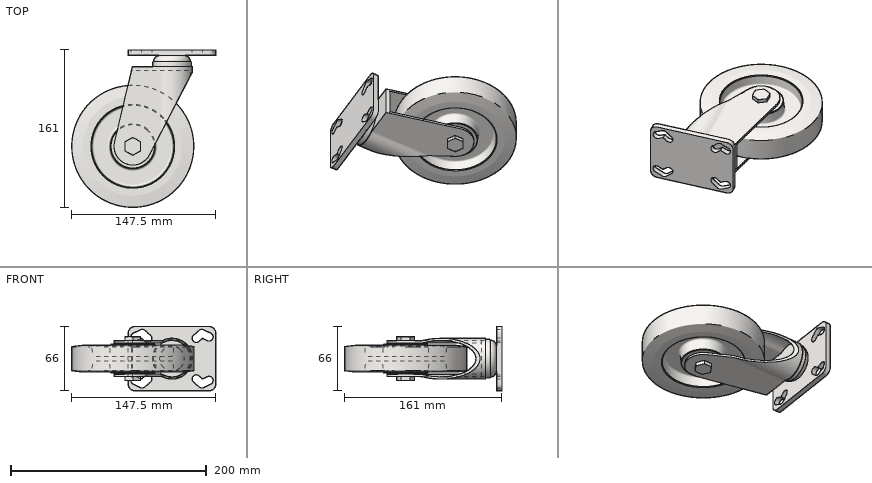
import cadquery as cq
import math


overall_height = 161.0
select_margin = 0.2

wheel_radius = 62.5
tread_half_width = 12.4
tread_edge_round = 0.5
rim_face_radius = 50.7
rim_half_width = 13.8
recess_radius = 42.8
recess_lip = 0.8
recess_floor_radius = 40.9
web_half_width = 2.3
hub_radius = 22.9
hub_base_radius = 24.0
hub_half_width = 14.8
hub_edge_chamfer = 0.6
recess_corner_round = 1.8

spacer_diameter = 16.3
hex_sides = 6
hex_across_flats = 16.0
bolt_half_length = 22.5

swivel_offset = 40.1
plate_length = 89.8
plate_width = 66.0
plate_thickness = 5.6
plate_corner_radius = 7.2
plate_top = overall_height - wheel_radius
plate_bottom = plate_top - plate_thickness

slot_width = 8.2
slot_inner_end = (24.8, 20.8)
slot_bend = (30.5, 25.8)
slot_outer_end = (37.8, 22.2)

fork_top = 81.5
fork_roof = 3.9
fork_wall = 2.5
fork_half_width = 18.4
fork_barrel_radius = 21.0
fork_barrel_bore_radius = 18.7
fork_bend_radius = 6.5
fork_end_radius = 19.2
fork_back_corner_x = -0.5
fork_front_corner_y = 76.0

collar_radius = 20.0
collar_top = 86.5
collar_edge_round = 1.0
dome_radius = 19.0
dome_round = plate_bottom - collar_top


def edges_near_height(height):
    reach = 2 * wheel_radius
    return cq.selectors.BoxSelector(
        (-reach, -reach, height - select_margin),
        (reach, reach, height + select_margin),
        boundingbox=True,
    )


def edges_at_heights(solid, height):
    """Edges lying flat at +height or -height along Z."""
    return solid.edges(edges_near_height(height) + edges_near_height(-height))


def make_wheel():
    upper_side = [
        (wheel_radius, tread_half_width),
        (rim_face_radius, rim_half_width),
        (recess_radius, rim_half_width),
        (recess_radius - recess_lip, rim_half_width - recess_lip),
        (recess_floor_radius, web_half_width),
        (hub_base_radius, web_half_width),
        (hub_radius, hub_half_width - hub_edge_chamfer),
        (hub_radius - hub_edge_chamfer, hub_half_width),
        (0, hub_half_width),
    ]
    lower_side = [(radius, -height) for radius, height in reversed(upper_side)]
    wheel = (
        cq.Workplane("XZ")
        .polyline(upper_side + lower_side)
        .close()
        .revolve(360, (0, 0), (0, 1))
    )
    wheel = edges_at_heights(wheel, tread_half_width).fillet(tread_edge_round)
    return edges_at_heights(wheel, web_half_width).fillet(recess_corner_round)


def make_axle():
    spacer = cq.Workplane("XY").circle(spacer_diameter / 2).extrude(fork_half_width, both=True)
    head = (
        cq.Workplane("XY", origin=(0, 0, fork_half_width))
        .polygon(hex_sides, hex_across_flats, circumscribed=True)
        .extrude(bolt_half_length - fork_half_width)
    )
    return spacer.union(head).union(head.mirror("XY"))


def slot_leg(start, end):
    """Straight round-ended slot between two end centres."""
    dx = end[0] - start[0]
    dz = end[1] - start[1]
    length = math.hypot(dx, dz)
    return (
        cq.Workplane("XY")
        .slot2D(length + slot_width, slot_width, math.degrees(math.atan2(dz, dx)))
        .extrude(plate_thickness)
        .translate(((start[0] + end[0]) / 2, (start[1] + end[1]) / 2, 0))
    )


def make_plate():
    plate = (
        cq.Workplane("XY")
        .rect(plate_length, plate_width)
        .extrude(plate_thickness)
        .edges("|Z")
        .fillet(plate_corner_radius)
    )
    slot = slot_leg(slot_inner_end, slot_bend).union(slot_leg(slot_bend, slot_outer_end))
    slot_pair = slot.union(slot.mirror("XZ"))
    plate = plate.cut(slot_pair).cut(slot_pair.mirror("YZ"))
    return plate.rotate((0, 0, 0), (1, 0, 0), 90).translate((swivel_offset, plate_top, 0))


def fork_block(half_width, barrel_radius, bend_radius, top):
    """Straight-sided channel merging into a barrel on the swivel axis, from the axle end up to top."""
    bottom = -wheel_radius
    height = top - bottom
    plane = cq.Workplane("XZ", origin=(0, top, 0))
    channel = plane.rect(2 * swivel_offset, 2 * half_width).extrude(height)
    barrel = plane.center(swivel_offset, 0).circle(barrel_radius).extrude(height)
    meet_x = swivel_offset - math.sqrt(barrel_radius**2 - half_width**2)
    corners = cq.selectors.BoxSelector(
        (meet_x - select_margin, bottom - select_margin, -half_width - select_margin),
        (meet_x + select_margin, top + select_margin, half_width + select_margin),
        boundingbox=True,
    )
    return channel.union(barrel).edges("|Y").edges(corners).fillet(bend_radius)


def tangent_point(corner, radius, side):
    """Where a line from corner touches a circle about the origin; side is +1 or -1."""
    angle = math.atan2(corner[1], corner[0]) + side * math.acos(radius / math.hypot(*corner))
    return (radius * math.cos(angle), radius * math.sin(angle))


def make_fork():
    fork_body = fork_block(fork_half_width, fork_barrel_radius, fork_bend_radius, fork_top)
    cavity = fork_block(
        fork_half_width - fork_wall,
        fork_barrel_bore_radius,
        fork_bend_radius + fork_wall,
        fork_top - fork_roof,
    )
    front_x = swivel_offset + fork_barrel_radius
    back_corner = (fork_back_corner_x, fork_top)
    front_corner = (front_x, fork_front_corner_y)
    side_outline = (
        cq.Workplane("XY")
        .moveTo(*back_corner)
        .lineTo(front_x, fork_top)
        .lineTo(*front_corner)
        .lineTo(*tangent_point(front_corner, fork_end_radius, -1))
        .threePointArc((0, -fork_end_radius), tangent_point(back_corner, fork_end_radius, 1))
        .close()
        .extrude(fork_barrel_radius, both=True)
    )
    return fork_body.cut(cavity).intersect(side_outline)


def make_swivel_head():
    collar_base = fork_top - fork_roof / 2
    collar = (
        cq.Workplane("XZ", origin=(swivel_offset, collar_base, 0))
        .circle(collar_radius)
        .extrude(collar_base - collar_top)
        .faces(">Y")
        .edges()
        .fillet(collar_edge_round)
    )
    dome = (
        cq.Workplane("XZ", origin=(swivel_offset, fork_top, 0))
        .circle(dome_radius)
        .extrude(fork_top - plate_bottom)
        .faces(">Y")
        .edges()
        .fillet(dome_round)
    )
    return collar.union(dome)


result = (
    make_wheel()
    .union(make_axle())
    .union(make_fork())
    .union(make_swivel_head())
    .union(make_plate())
)